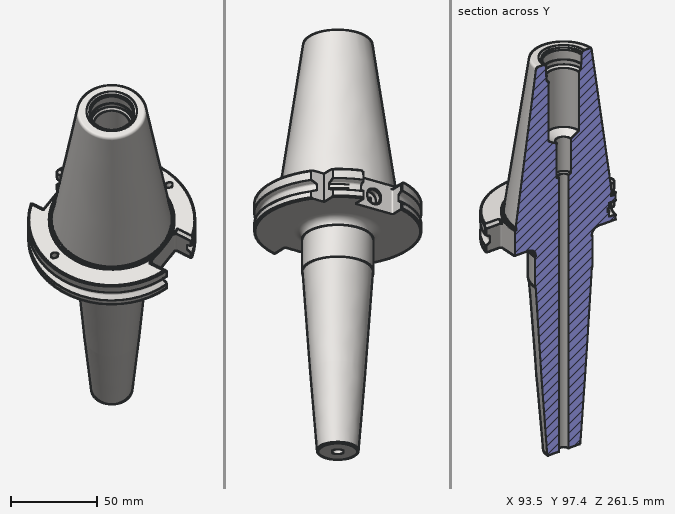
import cadquery as cq
import math

total_length = 261.5
taper_length = 101.5
taper_rate = 7 / 24
gauge_radius = 69.8 / 2
gauge_band = 0.5
taper_tip_radius = gauge_radius - taper_length * taper_rate / 2
taper_tip_round = 1.8

relief_inner_radius = 34.3
relief_floor_radius = 35.8
relief_outer_radius = 36.5
relief_depth = 1.0

flange_radius = 48.7
flange_top = -1.0
flange_bottom = -19.0
flange_chamfer = 0.65
flange_height = flange_top - flange_bottom

groove_middle = -11.0
groove_floor_radius = 45.5
groove_half_width = 3.7
groove_flank_angle = math.radians(30)
groove_corner_round = 1.0
groove_depth = flange_radius - groove_floor_radius
groove_floor_half_width = groove_half_width - groove_depth * math.tan(groove_flank_angle)

neck_radius = 20.5
neck_fillet = 5.0
neck_step_chamfer = 0.5
collar_radius = 21.0
collar_bottom = -44.7
nose_top_radius = 41.0 / 2
nose_break = -109.3
nose_break_radius = 32.2 / 2
nose_bottom = taper_length - total_length
nose_tip_radius = 24.3 / 2
nose_tip_chamfer = 0.8

mouth_radius = 14.6
mouth_depth = 0.8
entry_radius = 13.0
entry_depth = 2.0
seat_radius = 12.5
seat_depth = 8.5
relief_bore_radius = 12.3
relief_bore_depth = 11.5
thread_radius = 10.7
thread_depth = 52.3
channel_radius = 5.0
channel_depth = 78.5
through_radius = 3.5
drill_point_slope = math.tan(math.radians(30))

slot_half_width = 13.0
slot_floor_left = -37.7
slot_floor_right = 35.5
slot_corner_round = 0.92
slot_mouth_chamfer = 0.65
slot_face_chamfer = 2.0

notch_corner = 29.5

chip_radius = 4.5
chip_chamfer = 0.5
chip_depth = 4.7
chip_center_radius = 1.0
chip_center_depth = 1.3

coolant_radius = 1.95
coolant_x = 14.0
coolant_y = 39.8
coolant_depth = 10.5
coolant_tilt = 30.0


def flange_stack():
    """Taper, flange and nose as one turned body."""
    outline = (
        cq.Workplane("XZ")
        .moveTo(0, taper_length)
        .lineTo(taper_tip_radius, taper_length)
        .lineTo(gauge_radius, 0)
        .lineTo(gauge_radius, -gauge_band)
        .lineTo(relief_inner_radius, flange_top)
        .lineTo(relief_inner_radius, flange_top - relief_depth)
        .lineTo(relief_floor_radius, flange_top - relief_depth)
        .lineTo(relief_outer_radius, flange_top)
        .lineTo(flange_radius - flange_chamfer, flange_top)
        .lineTo(flange_radius, flange_top - flange_chamfer)
        .lineTo(flange_radius, flange_bottom + flange_chamfer)
        .lineTo(flange_radius - flange_chamfer, flange_bottom)
        .lineTo(neck_radius + neck_fillet, flange_bottom)
        .radiusArc((neck_radius, flange_bottom - neck_fillet), -neck_fillet)
        .lineTo(collar_radius, flange_bottom - neck_fillet - neck_step_chamfer)
        .lineTo(collar_radius, collar_bottom)
        .lineTo(nose_top_radius, collar_bottom)
        .lineTo(nose_break_radius, nose_break)
        .lineTo(nose_tip_radius, nose_bottom + nose_tip_chamfer)
        .lineTo(nose_tip_radius - nose_tip_chamfer, nose_bottom)
        .lineTo(0, nose_bottom)
        .close()
    )
    body = outline.revolve(360, (0, 0, 0), (0, 1, 0))
    return body.faces(">Z").edges().fillet(taper_tip_round)


def v_groove():
    """Ring that cuts the V groove, with rounded floor corners."""
    overrun = 2.5
    ring_outer_radius = flange_radius + overrun
    ring_half_width = groove_half_width + overrun * math.tan(groove_flank_angle)
    ring = (
        cq.Workplane("XZ")
        .moveTo(groove_floor_radius, groove_middle - groove_floor_half_width)
        .lineTo(groove_floor_radius, groove_middle + groove_floor_half_width)
        .lineTo(ring_outer_radius, groove_middle + ring_half_width)
        .lineTo(ring_outer_radius, groove_middle - ring_half_width)
        .close()
        .revolve(360, (0, 0, 0), (0, 1, 0))
    )
    floor_edges = cq.selectors.RadiusNthSelector(0)
    return ring.edges(floor_edges).fillet(groove_corner_round)


def bore():
    """Stepped bore that narrows to the hole through the nose."""
    thread_end = taper_length - thread_depth
    channel_end = taper_length - channel_depth
    thread_point = (thread_radius - channel_radius) * drill_point_slope
    channel_point = (channel_radius - through_radius) * drill_point_slope
    return (
        cq.Workplane("XZ")
        .moveTo(0, taper_length)
        .lineTo(mouth_radius, taper_length)
        .lineTo(entry_radius, taper_length - mouth_depth)
        .lineTo(seat_radius, taper_length - entry_depth)
        .lineTo(seat_radius, taper_length - seat_depth)
        .lineTo(relief_bore_radius, taper_length - seat_depth)
        .lineTo(relief_bore_radius, taper_length - relief_bore_depth)
        .lineTo(thread_radius, taper_length - relief_bore_depth - (relief_bore_radius - thread_radius))
        .lineTo(thread_radius, thread_end)
        .lineTo(channel_radius, thread_end - thread_point)
        .lineTo(channel_radius, channel_end)
        .lineTo(through_radius, channel_end - channel_point)
        .lineTo(through_radius, nose_bottom)
        .lineTo(0, nose_bottom)
        .close()
        .revolve(360, (0, 0, 0), (0, 1, 0))
    )


def driving_slot(floor_x):
    """Slot through the flange, open outward on the side of floor_x."""
    side = math.copysign(1, floor_x)
    mouth_x = side * flange_radius
    mouth_half_width = slot_half_width + slot_mouth_chamfer
    rim_x = side * math.sqrt(flange_radius**2 - mouth_half_width**2)
    rim_inner_x = rim_x - side * slot_mouth_chamfer
    channel = (
        cq.Workplane("XY", origin=(0, 0, flange_bottom))
        .moveTo(floor_x, -slot_half_width)
        .lineTo(rim_inner_x, -slot_half_width)
        .lineTo(rim_x, -mouth_half_width)
        .lineTo(mouth_x, -mouth_half_width)
        .lineTo(mouth_x, mouth_half_width)
        .lineTo(rim_x, mouth_half_width)
        .lineTo(rim_inner_x, slot_half_width)
        .lineTo(floor_x, slot_half_width)
        .close()
        .extrude(flange_height)
    )
    floor_corners = "|Z and <X" if side > 0 else "|Z and >X"
    channel = channel.edges(floor_corners).fillet(slot_corner_round)
    face_half_width = slot_half_width + slot_face_chamfer
    bevel = (
        cq.Workplane("YZ", origin=(floor_x, 0, 0))
        .moveTo(-slot_half_width, flange_top - slot_face_chamfer)
        .lineTo(-face_half_width, flange_top)
        .lineTo(face_half_width, flange_top)
        .lineTo(slot_half_width, flange_top - slot_face_chamfer)
        .close()
        .extrude(mouth_x - floor_x)
    )
    return channel.union(bevel)


def orientation_notch():
    """Square step cut from the rim at the back left."""
    size = flange_radius - notch_corner
    return cq.Workplane("XY").box(size, size, flange_height, centered=False).translate(
        (-flange_radius, notch_corner, flange_bottom)
    )


def chip_pocket():
    """Round pocket with a small center hole, sunk in the left slot floor."""
    start = cq.Workplane("YZ", origin=(slot_floor_left, 0, groove_middle))
    pocket = start.circle(chip_radius).extrude(chip_depth)
    center_hole = start.circle(chip_center_radius).extrude(chip_depth + chip_center_depth)
    rim = start.circle(chip_radius + chip_chamfer).workplane(offset=chip_chamfer).circle(chip_radius).loft()
    return pocket.union(rim).union(center_hole)


def coolant_hole():
    """Blind hole at the front left that leans toward the axis as it goes down."""
    overrun = 2.5
    pitch_radius = math.hypot(coolant_x, coolant_y)
    direction = math.degrees(math.atan2(-coolant_y, -coolant_x))
    return (
        cq.Workplane("XY")
        .circle(coolant_radius)
        .extrude(-coolant_depth - overrun)
        .translate((0, 0, overrun))
        .rotate((0, 0, 0), (0, 1, 0), coolant_tilt)
        .translate((pitch_radius, 0, flange_top))
        .rotate((0, 0, 0), (0, 0, 1), direction)
    )


result = flange_stack().cut(v_groove()).cut(bore())
for slot_floor in (slot_floor_left, slot_floor_right):
    result = result.cut(driving_slot(slot_floor))
result = result.cut(orientation_notch()).cut(chip_pocket())
for turn in (0, 180):
    result = result.cut(coolant_hole().rotate((0, 0, 0), (0, 0, 1), turn))